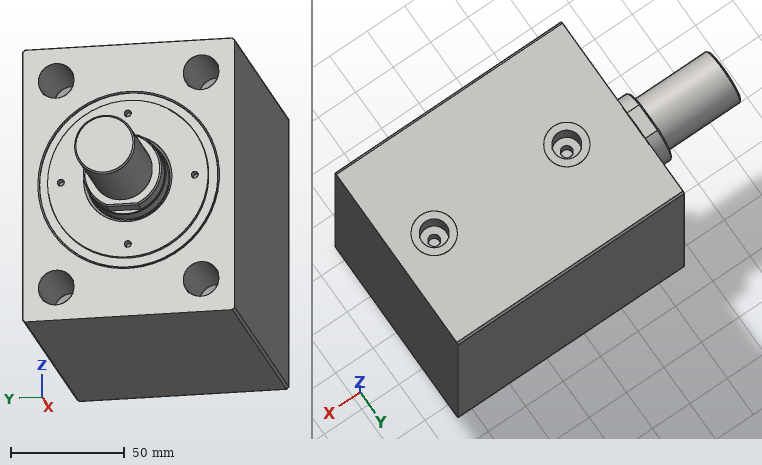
import cadquery as cq
import math


total_length = 175.0
rod_reach = 54.0
housing_length = total_length - rod_reach
housing_width = 95.0
housing_height = 125.0
housing_edge_chamfer = 1.0

mount_spacing_y = 65.0
mount_spacing_z = 95.0
mount_diameter = 16.0
mount_depth = 35.0

port_distances = (30.0, 100.8)
port_spotface_diameter = 20.3
port_spotface_depth = 0.1
port_thread_diameter = 13.1
port_thread_depth = 12.0
port_passage_diameter = 5.6
port_passage_depth = 7.0

gland_diameter = 80.0
gland_depth = 20.0
gland_seat_chamfer = 0.7
gland_boss_diameter = 72.0
gland_boss_height = 2.0
pin_hole_circle_diameter = 60.0
pin_hole_count = 4
pin_hole_diameter = 3.0
pin_hole_depth = 4.0
drill_point_angle = 118.0

wiper_recess_diameter = 39.5
wiper_diameter = 37.1
wiper_length = 5.0
wiper_recess_taper_depth = 2.0
wiper_face = wiper_recess_taper_depth - gland_boss_height
wiper_back = wiper_face + wiper_length

rod_diameter = 36.0
rod_shoulder_reach = 7.0
rod_shoulder_chamfer = 0.4
neck_diameter = 35.0
neck_reach = 14.4
neck_chamfer = 0.7
neck_flats_width = 32.0
stud_diameter = 27.0
stud_chamfer = 0.7


def x_cylinder(diameter, x_start, x_end):
    """Cylinder around the rod axis."""
    return cq.Workplane("YZ", origin=(x_start, 0, 0)).circle(diameter / 2).extrude(x_end - x_start)


def x_cone(start_diameter, end_diameter, x_start, x_end):
    """Truncated cone around the rod axis."""
    return (
        cq.Workplane("YZ", origin=(x_start, 0, 0))
        .circle(start_diameter / 2)
        .workplane(offset=x_end - x_start)
        .circle(end_diameter / 2)
        .loft()
    )


def drilled_hole(diameter, depth, x_start):
    """Cutter for a blind hole along +X with a conical drill point, centred on the rod axis."""
    radius = diameter / 2
    point_length = radius / math.tan(math.radians(drill_point_angle / 2))
    return (
        cq.Workplane("XY")
        .moveTo(x_start, 0)
        .lineTo(x_start, radius)
        .lineTo(x_start + depth, radius)
        .lineTo(x_start + depth + point_length, 0)
        .close()
        .revolve(360, (0, 0, 0), (1, 0, 0))
    )


def z_hole(diameter, x, depth):
    """Cutter for a flat-bottomed hole down from the housing's top face."""
    top = housing_height / 2
    return cq.Workplane("XY", origin=(x, 0, top)).circle(diameter / 2).extrude(-depth)


def make_housing():
    body = cq.Workplane("XY").box(housing_length, housing_width, housing_height, centered=(False, True, True))
    body = body.edges("|X").chamfer(housing_edge_chamfer)

    seat_mouth_diameter = gland_diameter + 2 * gland_seat_chamfer
    body = body.cut(x_cylinder(gland_diameter, 0, gland_depth))
    body = body.cut(x_cone(seat_mouth_diameter, gland_diameter, 0, gland_seat_chamfer))

    mount_hole = drilled_hole(mount_diameter, mount_depth, 0)
    for side_y in (-1, 1):
        for side_z in (-1, 1):
            hole_place = (0, side_y * mount_spacing_y / 2, side_z * mount_spacing_z / 2)
            body = body.cut(mount_hole.translate(hole_place))

    for x in port_distances:
        body = body.cut(z_hole(port_spotface_diameter, x, port_spotface_depth))
        body = body.cut(z_hole(port_thread_diameter, x, port_thread_depth))
        body = body.cut(z_hole(port_passage_diameter, x, port_thread_depth + port_passage_depth))
    return body


def make_gland():
    boss_face = -gland_boss_height
    body = x_cylinder(gland_diameter, 0, gland_depth)
    body = body.union(x_cylinder(gland_boss_diameter, boss_face, 0))

    body = body.cut(x_cylinder(rod_diameter, boss_face, gland_depth))
    body = body.cut(x_cone(wiper_recess_diameter, wiper_diameter, boss_face, wiper_face))
    body = body.cut(x_cylinder(wiper_diameter, wiper_face, wiper_back))

    pin_hole = drilled_hole(pin_hole_diameter, pin_hole_depth, boss_face)
    for index in range(pin_hole_count):
        angle = index * 360 / pin_hole_count
        hole = pin_hole.translate((0, pin_hole_circle_diameter / 2, 0))
        body = body.cut(hole.rotate((0, 0, 0), (1, 0, 0), angle))
    return body


def make_wiper():
    ring = x_cylinder(wiper_diameter, wiper_face, wiper_back)
    return ring.cut(x_cylinder(rod_diameter, wiper_face, wiper_back))


def make_rod():
    stud = x_cylinder(stud_diameter, -rod_reach, -neck_reach).faces("<X").chamfer(stud_chamfer)

    neck = x_cylinder(neck_diameter, -neck_reach, -rod_shoulder_reach)
    flats = cq.Workplane("XY").box(2 * rod_reach, neck_diameter, neck_flats_width)
    neck = neck.intersect(flats).faces("<X").chamfer(neck_chamfer)

    shaft = x_cylinder(rod_diameter, -rod_shoulder_reach, gland_depth)
    shaft = shaft.faces("<X").chamfer(rod_shoulder_chamfer)
    return shaft.union(neck).union(stud)


housing = make_housing()
gland = make_gland()
wiper = make_wiper()
rod = make_rod()

result = cq.Compound.makeCompound([housing.val(), gland.val(), wiper.val(), rod.val()])